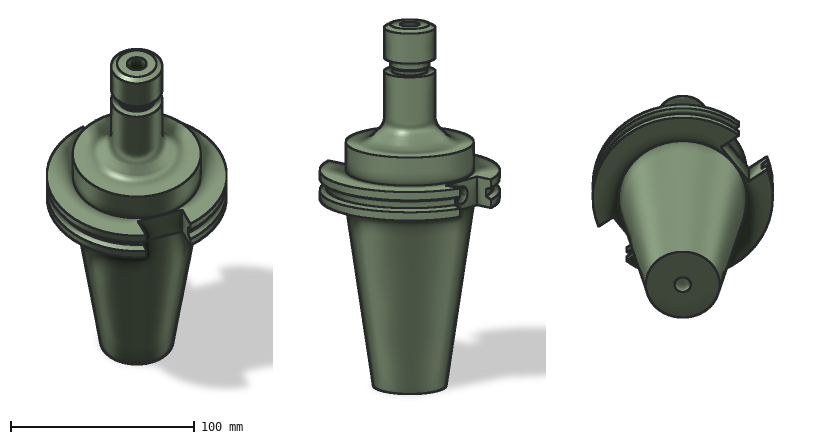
import cadquery as cq
import math

total_height = 203.2
gauge_z = 101.5
flange_bottom_z = 105.0
flange_top_z = 121.1
hub_top_z = 137.0
shaft_top_z = 176.8
undercut_top_z = 180.0
nut_bottom_z = 184.5

hub_radius = 35.0
flange_radius = 49.2
shaft_radius = 14.0
neck_radius = 10.8
undercut_radius = 9.8
undercut_bevel = neck_radius - undercut_radius
nut_top_radius = 10.8
nut_chamfer_height = 1.8

taper_ratio = 7 / 24
taper_end_radius = hub_radius - gauge_z * taper_ratio / 2

upper_flare_radius = 10.2
lower_flare_radius = 9.3
flare_foot_radius = 27.8

groove_root_radius = 45.7
groove_root_height = 3.9
groove_mouth_height = 6.7

slot_width = 25.8
left_slot_floor = 37.4
right_slot_floor = 35.2
slot_hole_diameter = 9.8
slot_hole_depth = 5.0

bore_diameter = 9.0
mouth_bore_diameter = 10.5
mouth_bore_depth = 24.4

flange_height = flange_top_z - flange_bottom_z
flange_mid_z = (flange_bottom_z + flange_top_z) / 2


def arc_point(center_r, center_z, radius, degrees):
    """Point on a profile arc, measured from the outward radial direction."""
    angle = math.radians(degrees)
    return center_r + radius * math.cos(angle), center_z + radius * math.sin(angle)


def make_turned_body():
    lower_center = (flare_foot_radius, hub_top_z + lower_flare_radius)
    lower_mid = arc_point(*lower_center, lower_flare_radius, 247.5)
    lower_end = arc_point(*lower_center, lower_flare_radius, 225)

    upper_center_r = shaft_radius + upper_flare_radius
    upper_start_r = arc_point(upper_center_r, 0, upper_flare_radius, 225)[0]
    upper_start_z = lower_end[1] + lower_end[0] - upper_start_r
    upper_center_z = upper_start_z + upper_flare_radius * math.sin(math.radians(45))
    upper_mid = arc_point(upper_center_r, upper_center_z, upper_flare_radius, 202.5)

    profile = (
        cq.Workplane("XZ")
        .moveTo(0, 0)
        .lineTo(taper_end_radius, 0)
        .lineTo(hub_radius, gauge_z)
        .lineTo(hub_radius, hub_top_z)
        .lineTo(flare_foot_radius, hub_top_z)
        .threePointArc(lower_mid, lower_end)
        .lineTo(upper_start_r, upper_start_z)
        .threePointArc(upper_mid, (shaft_radius, upper_center_z))
        .lineTo(shaft_radius, shaft_top_z)
        .lineTo(undercut_radius, shaft_top_z)
        .lineTo(undercut_radius, undercut_top_z - undercut_bevel)
        .lineTo(neck_radius, undercut_top_z)
        .lineTo(neck_radius, nut_bottom_z)
        .lineTo(shaft_radius, nut_bottom_z)
        .lineTo(shaft_radius, total_height - nut_chamfer_height)
        .lineTo(nut_top_radius, total_height)
        .lineTo(0, total_height)
        .close()
    )
    return profile.revolve(360, (0, 0, 0), (0, 1, 0))


def make_slot(side, floor_distance):
    """Cutter for a drive slot on the +X (side 1) or -X (side -1) flank."""
    depth = flange_radius - floor_distance
    return (
        cq.Workplane("XY", origin=(side * (floor_distance + depth / 2), 0, flange_mid_z))
        .box(depth, slot_width, flange_height)
    )


def make_flange():
    root_half = groove_root_height / 2
    mouth_half = groove_mouth_height / 2
    flange = (
        cq.Workplane("XZ")
        .moveTo(0, flange_bottom_z)
        .lineTo(flange_radius, flange_bottom_z)
        .lineTo(flange_radius, flange_mid_z - mouth_half)
        .lineTo(groove_root_radius, flange_mid_z - root_half)
        .lineTo(groove_root_radius, flange_mid_z + root_half)
        .lineTo(flange_radius, flange_mid_z + mouth_half)
        .lineTo(flange_radius, flange_top_z)
        .lineTo(0, flange_top_z)
        .close()
        .revolve(360, (0, 0, 0), (0, 1, 0))
    )
    for side, floor_distance in ((-1, left_slot_floor), (1, right_slot_floor)):
        flange = flange.cut(make_slot(side, floor_distance))
    return flange


def make_slot_hole():
    """Blind radial hole in the floor of the -X slot."""
    return (
        cq.Workplane("YZ", origin=(-left_slot_floor, 0, flange_mid_z))
        .circle(slot_hole_diameter / 2)
        .extrude(slot_hole_depth)
    )


def make_bore():
    through_bore = cq.Workplane("XY").circle(bore_diameter / 2).extrude(total_height)
    mouth_bore = (
        cq.Workplane("XY", origin=(0, 0, total_height))
        .circle(mouth_bore_diameter / 2)
        .extrude(-mouth_bore_depth)
    )
    return through_bore.union(mouth_bore)


result = make_turned_body().union(make_flange()).cut(make_slot_hole()).cut(make_bore())